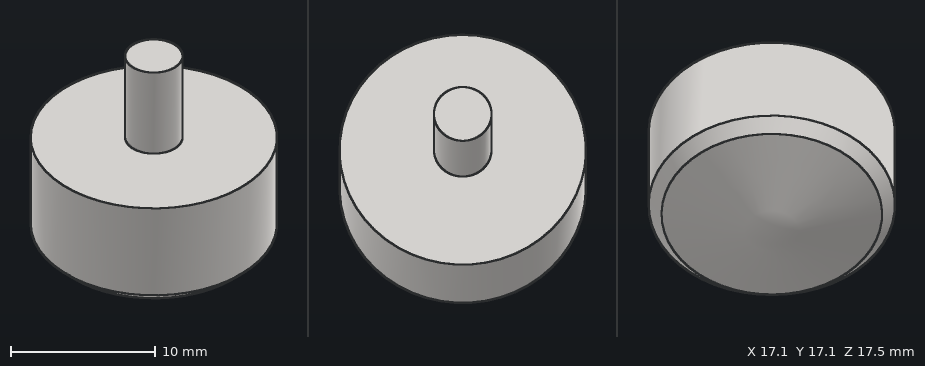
import cadquery as cq

body_diameter = 17.1
stem_diameter = 4.0
total_height = 17.5
stem_length = 6.9
chamfer = 0.9
cone_height = 2.3

body_radius = body_diameter / 2
stem_radius = stem_diameter / 2
cone_radius = body_radius - chamfer
wall_bottom = cone_height + chamfer
body_top = total_height - stem_length


def turned_part():
    """Revolve the half profile, given as (radius, height), about the Z axis."""
    profile = [
        (0, 0),
        (cone_radius, cone_height),
        (body_radius, wall_bottom),
        (body_radius, body_top),
        (stem_radius, body_top),
        (stem_radius, total_height),
        (0, total_height),
    ]
    return (
        cq.Workplane("XZ")
        .polyline(profile)
        .close()
        .revolve(360, (0, 0, 0), (0, 1, 0))
    )


result = turned_part()